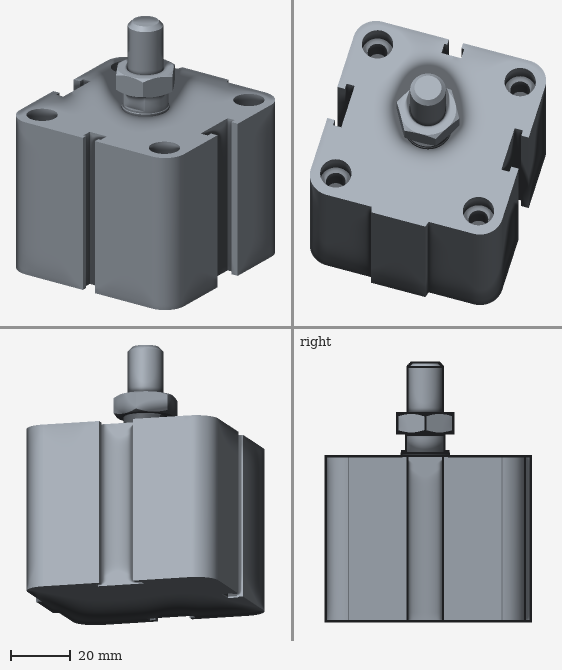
import cadquery as cq
import math

housing_width = 67.0
housing_height = 55.5
corner_radius = 7.7

pad_height = 2.0
pad_width = 19.0
pad_side_taper = 0.5

side_slot_opening = 12.0
side_slot_width = 16.0
side_slot_lip = 2.6
side_slot_depth = 5.5
front_slot_opening = 5.0
front_slot_width = 7.0
front_slot_lip = 2.0
front_slot_depth = 5.6

hole_spacing = 49.9
hole_diameter = 6.6
counterbore_diameter = 10.5
counterbore_depth = 6.5
hole_depth = 14.6

total_height = 87.0
foot_diameter = 16.0
foot_height = 1.05
collar_diameter = 15.6
foot_chamfer = (foot_diameter - collar_diameter) / 2
collar_top_chamfer = 0.5
flats_distance = 13.0
flats_start = 1.7
stud_diameter = 12.0
stud_chamfer = 1.5

nut_sides = 6
nut_width = 19.0
nut_thickness = 7.0
nut_base = housing_height + 7.6
nut_chamfer_angle = 30.0
nut_bore_flare = 0.4

half_width = housing_width / 2
collar_height = nut_base - housing_height


def t_slot(opening, width, lip, depth):
    """Full-height cutter for a T-slot that opens on the -Y side."""
    mouth = cq.Workplane("XY").box(opening, depth, housing_height, centered=(True, False, False))
    room = (
        cq.Workplane("XY")
        .box(width, depth - lip, housing_height, centered=(True, False, False))
        .translate((0, lip, 0))
    )
    return mouth.union(room).translate((0, -half_width, 0))


def make_pad():
    """Full-height pad on the +Y side, its sides tapering outward to the root."""
    half_pad = pad_width / 2
    outer = half_width + pad_height
    return (
        cq.Workplane("XY")
        .moveTo(-half_pad - pad_side_taper, half_width)
        .lineTo(-half_pad, outer)
        .lineTo(half_pad, outer)
        .lineTo(half_pad + pad_side_taper, half_width)
        .close()
        .extrude(housing_height)
    )


def make_housing():
    block = (
        cq.Workplane("XY")
        .box(housing_width, housing_width, housing_height, centered=(True, True, False))
        .edges("|Z")
        .fillet(corner_radius)
        .union(make_pad())
    )

    side_slot = t_slot(side_slot_opening, side_slot_width, side_slot_lip, side_slot_depth)
    for angle in (-90, 90):
        block = block.cut(side_slot.rotate((0, 0, 0), (0, 0, 1), angle))
    block = block.cut(t_slot(front_slot_opening, front_slot_width, front_slot_lip, front_slot_depth))

    return (
        block.faces(">Z")
        .workplane(origin=(0, 0, housing_height))
        .rect(hole_spacing, hole_spacing, forConstruction=True)
        .vertices()
        .cboreHole(hole_diameter, counterbore_diameter, counterbore_depth, depth=hole_depth)
    )


def make_rod():
    """Foot, collar with two wrench flats, and the stud that carries the nut."""
    foot = cq.Workplane("XY").circle(foot_diameter / 2).extrude(foot_height)
    foot = foot.faces(">Z").edges().chamfer(foot_chamfer)

    collar = cq.Workplane("XY").circle(collar_diameter / 2).extrude(collar_height)
    collar = collar.faces(">Z").edges().chamfer(collar_top_chamfer)
    flats = (
        cq.Workplane("XY")
        .workplane(offset=flats_start)
        .rect(foot_diameter, foot_diameter)
        .rect(foot_diameter, flats_distance)
        .extrude(collar_height - flats_start)
    )

    stud = cq.Workplane("XY").circle(stud_diameter / 2).extrude(total_height - housing_height)
    stud = stud.faces(">Z").edges().chamfer(stud_chamfer)
    return foot.union(collar.cut(flats)).union(stud).translate((0, 0, housing_height))


def make_nut():
    """Hexagon nut with its corners turned down at both ends."""
    corner_diameter = nut_width / math.cos(math.pi / nut_sides)
    corner_overhang = (corner_diameter - nut_width) / 2
    corner_drop = corner_overhang * math.tan(math.radians(nut_chamfer_angle))

    hexagon = cq.Workplane("XY").polygon(nut_sides, corner_diameter).extrude(nut_thickness)
    turned = (
        cq.Workplane("XY")
        .circle(corner_diameter / 2)
        .extrude(nut_thickness)
        .faces("<Z or >Z")
        .edges()
        .chamfer(corner_drop, corner_overhang)
    )
    nut = hexagon.intersect(turned).faces(">Z").workplane().hole(stud_diameter)
    bore_rims = nut.faces("<Z or >Z").edges("%CIRCLE").edges(cq.selectors.RadiusNthSelector(0))
    return bore_rims.chamfer(nut_bore_flare).translate((0, 0, nut_base))


housing = make_housing().solids()
rod = make_rod().solids()
nut = make_nut().solids()

result = cq.Compound.makeCompound([housing.val(), rod.val(), nut.val()])